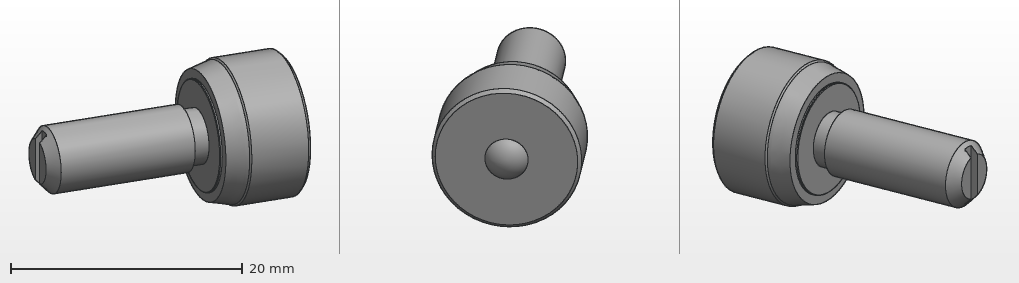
import cadquery as cq
import math

total_length = 24.0
ball_tip_y = total_length / 2
stem_end_y = -total_length / 2

head_radius = 6.5
head_front_y = ball_tip_y - 1.0
head_chamfer = 0.3
head_back_y = ball_tip_y - 6.62
head_back_bevel = 0.15

skirt_radius = head_radius - head_back_bevel
skirt_top_y = head_back_y - head_back_bevel
skirt_break_radius = 6.3
skirt_break_y = ball_tip_y - 7.1
skirt_end_radius = 5.85
skirt_end_y = ball_tip_y - 8.78

disc_radius = 5.02
disc_bevel = 0.07
disc_end_y = ball_tip_y - 9.0

neck_radius = 2.5
stem_radius = 3.0
stem_start_y = ball_tip_y - 10.5
stem_chamfer = 1.0
slot_width = 1.0
slot_depth = 0.65

ball_radius = 2.25
ball_center_y = ball_tip_y - ball_radius
ball_rim_radius = math.sqrt(ball_radius**2 - (head_front_y - ball_center_y) ** 2)
arc_angle = math.asin(ball_rim_radius / ball_radius) / 2
ball_arc_middle = (
    ball_radius * math.sin(arc_angle),
    ball_center_y + ball_radius * math.cos(arc_angle),
)


def turned_body():
    """Revolve the half profile, given as (radius, y), about the Y axis."""
    profile = (
        cq.Workplane("XY")
        .moveTo(0, ball_tip_y)
        .threePointArc(ball_arc_middle, (ball_rim_radius, head_front_y))
        .lineTo(head_radius - head_chamfer, head_front_y)
        .lineTo(head_radius, head_front_y - head_chamfer)
        .lineTo(head_radius, head_back_y)
        .lineTo(skirt_radius, skirt_top_y)
        .lineTo(skirt_break_radius, skirt_break_y)
        .lineTo(skirt_end_radius, skirt_end_y)
        .lineTo(disc_radius, skirt_end_y)
        .lineTo(disc_radius, disc_end_y + disc_bevel)
        .lineTo(disc_radius - disc_bevel, disc_end_y)
        .lineTo(neck_radius, disc_end_y)
        .lineTo(neck_radius, stem_start_y)
        .lineTo(stem_radius, stem_start_y)
        .lineTo(stem_radius, stem_end_y + stem_chamfer)
        .lineTo(stem_radius - stem_chamfer, stem_end_y)
        .lineTo(0, stem_end_y)
        .close()
    )
    return profile.revolve(360, (0, 0, 0), (0, 1, 0))


def driver_slot():
    """Straight screwdriver slot across the stem end, running along Z."""
    return (
        cq.Workplane("XY")
        .box(slot_width, slot_depth, 2 * stem_radius, centered=(True, False, True))
        .translate((0, stem_end_y, 0))
    )


result = turned_body().cut(driver_slot())